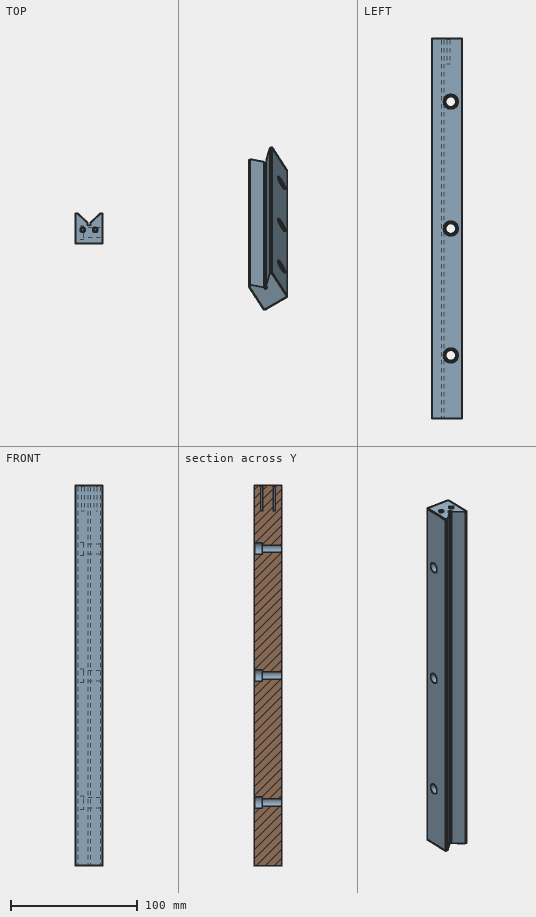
import cadquery as cq

length = 300.0
width = 22.0
depth = 24.0
edge_chamfer = 0.5

groove_half_width = 9.0
groove_tip_depth = 8.5
relief_width = 2.0
relief_depth = 9.3

rim_angle = 90.0

cross_hole_diameter = 8.0
cross_bore_diameter = 10.5
cross_bore_depth = 6.3
cross_rim_chamfer = edge_chamfer
cross_hole_y = -3.0
cross_hole_count = 3
cross_hole_pitch = length / cross_hole_count

end_hole_diameter = 2.5
end_rim_chamfer = 0.75
end_hole_depth = 20.0
end_hole_spacing = 10.0
end_hole_y = -1.02


def make_bar():
    """Upright bar with every outer edge chamfered."""
    bar = cq.Workplane("XY").box(width, depth, length, centered=(True, True, False))
    return bar.edges().chamfer(edge_chamfer)


def make_groove():
    """V-shaped cutter, with its tip cleared by a narrow slot."""
    face_y = depth / 2
    vee = (
        cq.Workplane("XY")
        .moveTo(-groove_half_width, face_y)
        .lineTo(groove_half_width, face_y)
        .lineTo(0, face_y - groove_tip_depth)
        .close()
        .extrude(length)
    )
    relief = (
        cq.Workplane("XY")
        .center(0, face_y - relief_depth / 2)
        .rect(relief_width, relief_depth)
        .extrude(length)
    )
    return vee.union(relief)


def drill_cross_holes(body):
    """Evenly spaced through holes along X, counterbored and chamfered on the -X face."""
    side_plane = cq.Plane(origin=(-width / 2, 0, 0), xDir=(0, -1, 0), normal=(-1, 0, 0))
    side_face = cq.Workplane(side_plane)
    points = [(-cross_hole_y, cross_hole_pitch * (i + 0.5)) for i in range(cross_hole_count)]
    rim_diameter = cross_bore_diameter + 2 * cross_rim_chamfer

    bored = body.copyWorkplane(side_face).pushPoints(points).cboreHole(
        cross_hole_diameter, cross_bore_diameter, cross_bore_depth
    )
    return bored.copyWorkplane(side_face).pushPoints(points).cskHole(
        cross_hole_diameter, rim_diameter, rim_angle
    )


def drill_end_holes(body):
    """Pair of blind holes in the top end, with chamfered rims."""
    top_face = cq.Workplane("XY", origin=(0, 0, length))
    points = [(side * end_hole_spacing / 2, end_hole_y) for side in (-1, 1)]
    rim_diameter = end_hole_diameter + 2 * end_rim_chamfer
    return body.copyWorkplane(top_face).pushPoints(points).cskHole(
        end_hole_diameter, rim_diameter, rim_angle, end_hole_depth
    )


grooved_bar = make_bar().cut(make_groove())
result = drill_end_holes(drill_cross_holes(grooved_bar))